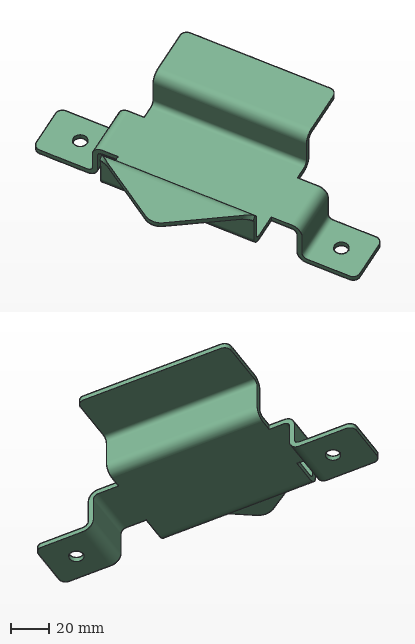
import cadquery as cq
import math

sheet = 3.0
inner_radius = sheet
outer_radius = inner_radius + sheet

length = 190.0
body_width = 90.0
web_spacing = 63.0
flange_height = 26.0

square_flange = 32.0
pointed_flange = 28.0
corner_radius = 4.0
tip_radius = 9.3
tip_slope = math.radians(34)

arm_width = 30.0
arm_offset = 3.5
left_web = 60.0
right_web = 63.0
left_drop = 23.0
right_drop = flange_height

hole_diameter = 8.0
left_hole_inset = 20.0
right_hole_inset = 16.5
left_hole_shift = 0.4

body_half = body_width / 2
margin = 1.9


def bent_strip(web, height, end, width):
    """Strip from the centre along +X, bent up at web and back to flat at height."""
    diagonal = math.sqrt(0.5)
    web_inside = web - sheet
    lower_x, lower_z = web - outer_radius, outer_radius
    upper_x, upper_z = web + inner_radius, height - outer_radius
    inner_reach = inner_radius * diagonal
    outer_reach = outer_radius * diagonal
    return (
        cq.Workplane("XZ")
        .moveTo(0, 0)
        .lineTo(lower_x, 0)
        .threePointArc((lower_x + outer_reach, lower_z - outer_reach), (web, lower_z))
        .lineTo(web, upper_z)
        .threePointArc((upper_x - inner_reach, upper_z + inner_reach), (upper_x, height - sheet))
        .lineTo(end, height - sheet)
        .lineTo(end, height)
        .lineTo(upper_x, height)
        .threePointArc((upper_x - outer_reach, upper_z + outer_reach), (web_inside, upper_z))
        .lineTo(web_inside, lower_z)
        .threePointArc((lower_x + inner_reach, lower_z - inner_reach), (lower_x, sheet))
        .lineTo(0, sheet)
        .close()
        .extrude(width / 2, both=True)
    )


def turn(shape, angle):
    return shape.rotate((0, 0, 0), (0, 0, 1), angle)


def mounting_arm(web, drop, hole_inset, hole_shift):
    """Arm along +X, stepping down from the plate, with rounded corners and a hole."""
    end = length / 2
    arm = bent_strip(web, drop, end, arm_width).edges("|Z and >X").fillet(corner_radius)
    hole = (
        cq.Workplane("XY")
        .center(end - hole_inset, hole_shift)
        .circle(hole_diameter / 2)
        .extrude(drop + margin)
    )
    return arm.cut(hole).mirror("XY").translate((0, 0, sheet))


def bend_trim(bend_x, bend_z, edge_at_bend):
    """Cutter carrying the pointed flange's side edge around its bend, with faces square to the sheet."""
    middle_radius = (inner_radius + outer_radius) / 2
    near = inner_radius / 2
    far = outer_radius + margin
    run_out = (body_half + margin - edge_at_bend) * math.tan(tip_slope) / middle_radius
    section_count = 5
    outer_y = body_half + 2 * margin
    sections = []
    for i in range(section_count):
        angle = run_out * i / (section_count - 1)
        edge_y = edge_at_bend + middle_radius * angle / math.tan(tip_slope)
        corners = []
        for radius, y in ((near, edge_y), (far, edge_y), (far, outer_y), (near, outer_y)):
            x = bend_x - radius * math.sin(angle)
            z = bend_z + radius * math.cos(angle)
            corners.append(cq.Vector(x, y, z))
        sections.append(cq.Wire.makePolygon(corners, close=True))
    return cq.Workplane(obj=cq.Solid.makeLoft(sections))


def pointed_strip():
    """Raised flange along +X narrowing to a rounded tip."""
    web = web_spacing / 2
    end = web + pointed_flange
    bend_x = web + inner_radius
    apex = end + tip_radius * (1 / math.cos(tip_slope) - 1)
    edge_at_bend = (apex - bend_x) / math.tan(tip_slope)
    outline = (
        cq.Workplane("XY")
        .polyline([
            (0, -body_half), (bend_x, -body_half), (bend_x, -edge_at_bend), (apex, 0),
            (bend_x, edge_at_bend), (bend_x, body_half), (0, body_half),
        ])
        .close()
        .extrude(flange_height)
        .edges("|Z and >X")
        .fillet(tip_radius)
    )
    blank = bent_strip(web, flange_height, apex, body_width).intersect(outline)
    trim = bend_trim(bend_x, flange_height - outer_radius, edge_at_bend)
    return blank.cut(trim).cut(trim.mirror("XZ"))


square_end = web_spacing / 2 + square_flange
square_strip = bent_strip(web_spacing / 2, flange_height, square_end, body_width)
square_strip = square_strip.edges("|Z and >X").fillet(corner_radius)

right_arm = mounting_arm(right_web, right_drop, right_hole_inset, 0)
left_arm = turn(mounting_arm(left_web, left_drop, left_hole_inset, -left_hole_shift), 180)
arms = right_arm.union(left_arm).translate((0, arm_offset, 0))

result = turn(square_strip, 90).union(turn(pointed_strip(), -90)).union(arms).clean()